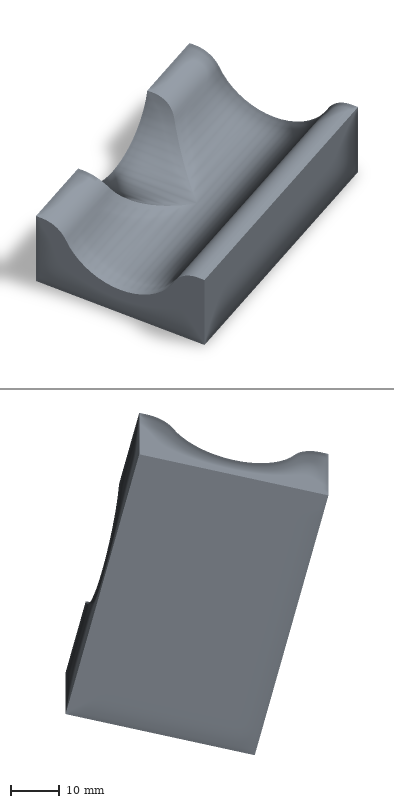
import cadquery as cq
import math

width = 40.48
length = 63.5
height = 17.83

floor_thickness = 6.35
channel_radius = 14.65
lip_radius = 6.35

channel_axis_z = floor_thickness + channel_radius

lip_center_z = height - lip_radius
center_distance = channel_radius + lip_radius
lip_center_x = math.sqrt(center_distance**2 - (channel_axis_z - lip_center_z) ** 2)

wall_share = channel_radius / center_distance
tangent_x = lip_center_x * wall_share
tangent_z = channel_axis_z - (channel_axis_z - lip_center_z) * wall_share

lip_sweep = math.acos((tangent_z - lip_center_z) / lip_radius)
lip_mid_x = lip_center_x - lip_radius * math.sin(lip_sweep / 2)
lip_mid_z = lip_center_z + lip_radius * math.cos(lip_sweep / 2)


def make_saddle():
    """Block with the lengthwise channel and its rounded lips."""
    half_width = width / 2
    return (
        cq.Workplane("XZ")
        .moveTo(-half_width, 0)
        .lineTo(half_width, 0)
        .lineTo(half_width, height)
        .lineTo(lip_center_x, height)
        .threePointArc((lip_mid_x, lip_mid_z), (tangent_x, tangent_z))
        .threePointArc((0, floor_thickness), (-tangent_x, tangent_z))
        .threePointArc((-lip_mid_x, lip_mid_z), (-lip_center_x, height))
        .lineTo(-half_width, height)
        .close()
        .extrude(length / 2, both=True)
    )


def make_branch_cutter():
    """Cylinder along X for the side channel, from the -X face to the main channel axis."""
    return (
        cq.Workplane("YZ", origin=(-width / 2, 0, 0))
        .center(0, channel_axis_z)
        .circle(channel_radius)
        .extrude(width / 2)
    )


result = make_saddle().cut(make_branch_cutter())